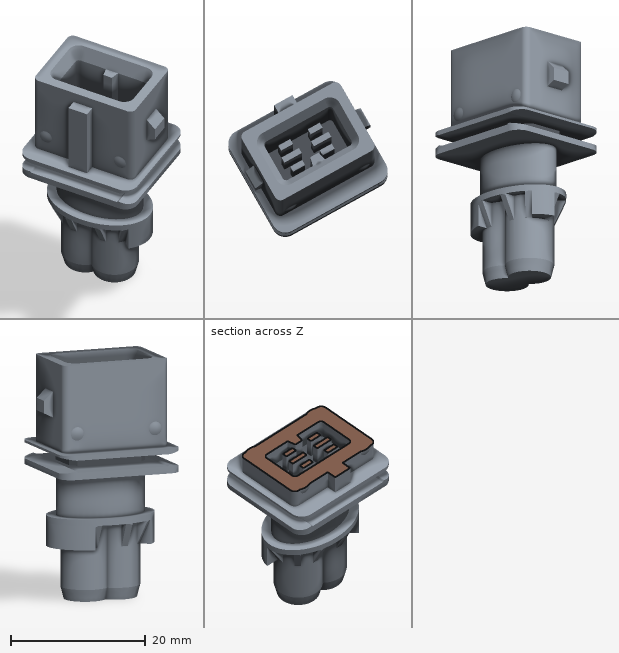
import cadquery as cq
import math


HOUSING_Y = 0.47
HOUSING_TOP = 36.5
HOUSING_BOTTOM = 23.32
HOUSING_LENGTH = 16.83
HOUSING_WIDTH = 11.8
HOUSING_CORNER = 0.9

SOCKET_LENGTH = 11.68
SOCKET_WIDTH = 6.6
SOCKET_CORNER = 0.55
MOUTH_FLARE = 1.1
MOUTH_DEPTH = 1.97
MOUTH_BOTTOM = HOUSING_TOP - MOUTH_DEPTH

KEY_ROOT_WIDTH = 2.05
KEY_TIP_WIDTH = 1.42
KEY_HEIGHT = 1.35

BLADE_TOP = 29.2
BLADE_X = 2.52
BLADE_PITCH = 1.82
BLADE_THICKNESS = 0.88
MIDDLE_BLADE_LENGTH = 2.95
OUTER_BLADE_LENGTH = 2.05

RAIL_WIDTH = 3.15
RAIL_HEIGHT = 1.6
RAIL_TOP = 34.75
LATCH_SPAN = 19.6
LATCH_WIDTH = 2.95
LATCH_ROOT_BOTTOM = 28.05
LATCH_TIP_BOTTOM = 28.73
LATCH_TIP_TOP = 30.62
LATCH_ROOT_TOP = 31.95
DOME_X = 6.25
DOME_Z = 26.15
DOME_RADIUS = 1.02
DOME_HEIGHT = 0.22
DOME_ROOT_DEPTH = 0.35

FLANGE_LENGTH = 19.15
FLANGE_WIDTH = 17.2
FLANGE_CORNER = 2.0
FLANGE_SLOPE_START = 7.45
UPPER_FLANGE_BOTTOM = 22.6
UPPER_FLANGE_EDGE = 22.95
LOWER_FLANGE_BOTTOM = 19.67
LOWER_FLANGE_EDGE = 20.55
LOWER_FLANGE_TOP = 20.77
LOWER_FLANGE_CREST = 21.0
RECESS_HALF_LENGTH = 7.2

NECK_LENGTH = 12.23
NECK_WIDTH = 7.23
NECK_CHAMFER = 1.0

COLUMN_RADIUS_X = 6.95
COLUMN_RADIUS_Y = 4.27
COLLAR_RADIUS_X = HOUSING_LENGTH / 2
COLLAR_RADIUS_Y = 5.75
COLLAR_TOP = 12.78
COLLAR_BOTTOM = 11.83

BARREL_X = 2.45
BARREL_RADIUS = 3.7
BARREL_TIP_RADIUS = 3.2
BARREL_TIP_HEIGHT = 1.85

GUSSET_BOTTOM = 8.15
GUSSET_THICKNESS = 1.02
GUSSET_STEP = 45
LEFT_WALL_ANGLES = (135, 180)
RIGHT_WALL_ANGLES = (-45, 90)
WALL_BLANK_LENGTH = 4 * COLLAR_RADIUS_X


def elliptic_cylinder(radius_x, radius_y, bottom, top):
    return cq.Workplane("XY", origin=(0, 0, bottom)).ellipse(radius_x, radius_y).extrude(top - bottom)


def box_between(center_x, center_y, length, width, bottom, top):
    base = cq.Workplane("XY", origin=(center_x, center_y, bottom))
    return base.rect(length, width).extrude(top - bottom)


def flange(profile):
    """Extrude a flange's XZ profile across Y and round its four corners."""
    front_plane = cq.Workplane("XZ", origin=(0, HOUSING_Y + FLANGE_WIDTH / 2, 0))
    return front_plane.polyline(profile).close().extrude(FLANGE_WIDTH).edges("|Z").fillet(FLANGE_CORNER)


def upper_flange():
    end = FLANGE_LENGTH / 2
    return flange([
        (-end, HOUSING_BOTTOM),
        (end, HOUSING_BOTTOM),
        (end, UPPER_FLANGE_EDGE),
        (FLANGE_SLOPE_START, UPPER_FLANGE_BOTTOM),
        (-FLANGE_SLOPE_START, UPPER_FLANGE_BOTTOM),
        (-end, UPPER_FLANGE_EDGE),
    ])


def lower_flange():
    end = FLANGE_LENGTH / 2
    return flange([
        (-end, LOWER_FLANGE_BOTTOM),
        (end, LOWER_FLANGE_BOTTOM),
        (end, LOWER_FLANGE_EDGE),
        (FLANGE_SLOPE_START, LOWER_FLANGE_CREST),
        (RECESS_HALF_LENGTH, LOWER_FLANGE_TOP),
        (-RECESS_HALF_LENGTH, LOWER_FLANGE_TOP),
        (-FLANGE_SLOPE_START, LOWER_FLANGE_CREST),
        (-end, LOWER_FLANGE_EDGE),
    ])


def neck():
    block = box_between(0, 0, NECK_LENGTH, NECK_WIDTH, LOWER_FLANGE_BOTTOM, HOUSING_BOTTOM)
    return block.edges("|Z").chamfer(NECK_CHAMFER)


def housing_shell():
    shell = box_between(0, HOUSING_Y, HOUSING_LENGTH, HOUSING_WIDTH, HOUSING_BOTTOM, HOUSING_TOP)
    return shell.edges("|Z").fillet(HOUSING_CORNER)


def socket():
    """Rounded cavity with a mouth that flares towards the top, less its key."""
    cavity = box_between(0, HOUSING_Y, SOCKET_LENGTH, SOCKET_WIDTH, HOUSING_BOTTOM, MOUTH_BOTTOM)
    cavity = cavity.edges("|Z").fillet(SOCKET_CORNER)
    flare_angle = math.degrees(math.atan2(MOUTH_FLARE, MOUTH_DEPTH))
    mouth = cavity.faces(">Z").wires().toPending().workplane().extrude(
        MOUTH_DEPTH, combine=False, taper=-flare_angle
    )
    wall_y = HOUSING_Y + SOCKET_WIDTH / 2
    key_outline = [
        (-KEY_ROOT_WIDTH / 2, wall_y),
        (-KEY_TIP_WIDTH / 2, wall_y - KEY_HEIGHT),
        (KEY_TIP_WIDTH / 2, wall_y - KEY_HEIGHT),
        (KEY_ROOT_WIDTH / 2, wall_y),
    ]
    key_base = cq.Workplane("XY", origin=(0, 0, HOUSING_BOTTOM))
    key = key_base.polyline(key_outline).close().extrude(MOUTH_BOTTOM - HOUSING_BOTTOM)
    return cavity.cut(key).union(mouth)


def add_contact_blades(body):
    row_lengths = {-1: OUTER_BLADE_LENGTH, 0: MIDDLE_BLADE_LENGTH, 1: OUTER_BLADE_LENGTH}
    for x in (-BLADE_X, BLADE_X):
        for row, length in row_lengths.items():
            blade = box_between(x, row * BLADE_PITCH, length, BLADE_THICKNESS, HOUSING_BOTTOM, BLADE_TOP)
            body = body.union(blade)
    return body


def guide_rail():
    """Upright rail on the -Y wall, let into the wall so that the two join."""
    rail_width_y = RAIL_HEIGHT + HOUSING_CORNER
    rail_y = HOUSING_Y - HOUSING_WIDTH / 2 - RAIL_HEIGHT + rail_width_y / 2
    return box_between(0, rail_y, RAIL_WIDTH, rail_width_y, HOUSING_BOTTOM, RAIL_TOP)


def latch_lug(side):
    """Wedge lug on the -X (side = -1) or +X (side = 1) wall."""
    root = side * HOUSING_LENGTH / 2
    inside = root - side * HOUSING_CORNER
    tip = side * LATCH_SPAN / 2
    profile = [
        (inside, LATCH_ROOT_BOTTOM),
        (root, LATCH_ROOT_BOTTOM),
        (tip, LATCH_TIP_BOTTOM),
        (tip, LATCH_TIP_TOP),
        (root, LATCH_ROOT_TOP),
        (inside, LATCH_ROOT_TOP),
    ]
    plane = cq.Workplane("XZ", origin=(0, HOUSING_Y + LATCH_WIDTH / 2, 0))
    return plane.polyline(profile).close().extrude(LATCH_WIDTH)


def add_domes(body):
    """Add shallow spherical caps, rooted in the wall, to the -Y and +Y walls."""
    sphere_radius = (DOME_RADIUS ** 2 + DOME_HEIGHT ** 2) / (2 * DOME_HEIGHT)
    for side in (-1, 1):
        wall_y = HOUSING_Y + side * HOUSING_WIDTH / 2
        for x in (-DOME_X, DOME_X):
            half_section = cq.Workplane("XY", origin=(x, wall_y, DOME_Z))
            half_section = half_section.moveTo(0, -side * DOME_ROOT_DEPTH)
            half_section = half_section.lineTo(DOME_RADIUS, -side * DOME_ROOT_DEPTH)
            half_section = half_section.lineTo(DOME_RADIUS, 0)
            half_section = half_section.radiusArc((0, side * DOME_HEIGHT), -side * sphere_radius)
            body = body.union(half_section.close().revolve(360, (0, 0), (0, 1)))
    return body


def barrel(x):
    straight = cq.Workplane("XY", origin=(x, 0, BARREL_TIP_HEIGHT)).circle(BARREL_RADIUS)
    straight = straight.extrude(COLLAR_TOP - BARREL_TIP_HEIGHT)
    tip = cq.Workplane("XY", origin=(x, 0, 0)).circle(BARREL_TIP_RADIUS)
    tip = tip.workplane(offset=BARREL_TIP_HEIGHT).circle(BARREL_RADIUS).loft()
    return straight.union(tip)


def reach_to_collar(x, angle):
    """Distance from a barrel axis to the collar rim in the given direction."""
    step_x = math.cos(math.radians(angle)) / COLLAR_RADIUS_X
    step_y = math.sin(math.radians(angle)) / COLLAR_RADIUS_Y
    start = x / COLLAR_RADIUS_X
    a = step_x ** 2 + step_y ** 2
    b = start * step_x
    c = start ** 2 - 1
    return (math.sqrt(b ** 2 - a * c) - b) / a


def gusset(x, angle):
    """Triangular web from the barrel surface out to the collar rim."""
    profile = [
        (0, COLLAR_BOTTOM),
        (reach_to_collar(x, angle), COLLAR_BOTTOM),
        (BARREL_RADIUS, GUSSET_BOTTOM),
        (0, GUSSET_BOTTOM),
    ]
    web = cq.Workplane("XZ").polyline(profile).close().extrude(GUSSET_THICKNESS / 2, both=True)
    return web.rotate((0, 0, 0), (0, 0, 1), angle).translate((x, 0, 0))


def coding_wall(x, start_angle, end_angle):
    """Full-height wall between the facing sides of two gussets of one barrel."""
    middle = math.radians((start_angle + end_angle) / 2)
    half_angle = math.radians((end_angle - start_angle) / 2)
    apex_shift = GUSSET_THICKNESS / 2 / math.sin(half_angle)
    apex = (x + apex_shift * math.cos(middle), apex_shift * math.sin(middle))
    corners = [apex]
    for angle in (middle - half_angle, middle, middle + half_angle):
        corner_x = apex[0] + WALL_BLANK_LENGTH * math.cos(angle)
        corner_y = apex[1] + WALL_BLANK_LENGTH * math.sin(angle)
        corners.append((corner_x, corner_y))
    base = cq.Workplane("XY", origin=(0, 0, GUSSET_BOTTOM))
    return base.polyline(corners).close().extrude(COLLAR_BOTTOM - GUSSET_BOTTOM)


def collar_supports():
    supports = coding_wall(-BARREL_X, *LEFT_WALL_ANGLES)
    supports = supports.union(coding_wall(BARREL_X, *RIGHT_WALL_ANGLES))
    for angle in range(-90, 90 + GUSSET_STEP, GUSSET_STEP):
        supports = supports.union(gusset(BARREL_X, angle))
        supports = supports.union(gusset(-BARREL_X, 180 - angle))
    limits = elliptic_cylinder(COLLAR_RADIUS_X, COLLAR_RADIUS_Y, GUSSET_BOTTOM, COLLAR_BOTTOM)
    return supports.intersect(limits)


housing = housing_shell().union(guide_rail()).union(latch_lug(-1)).union(latch_lug(1))
housing = add_domes(housing).cut(socket())

stem = elliptic_cylinder(COLUMN_RADIUS_X, COLUMN_RADIUS_Y, COLLAR_BOTTOM, LOWER_FLANGE_BOTTOM)
stem = stem.union(elliptic_cylinder(COLLAR_RADIUS_X, COLLAR_RADIUS_Y, COLLAR_BOTTOM, COLLAR_TOP))
stem = stem.union(barrel(-BARREL_X)).union(barrel(BARREL_X)).union(collar_supports())

result = housing.union(upper_flange()).union(neck()).union(lower_flange()).union(stem)
result = add_contact_blades(result)